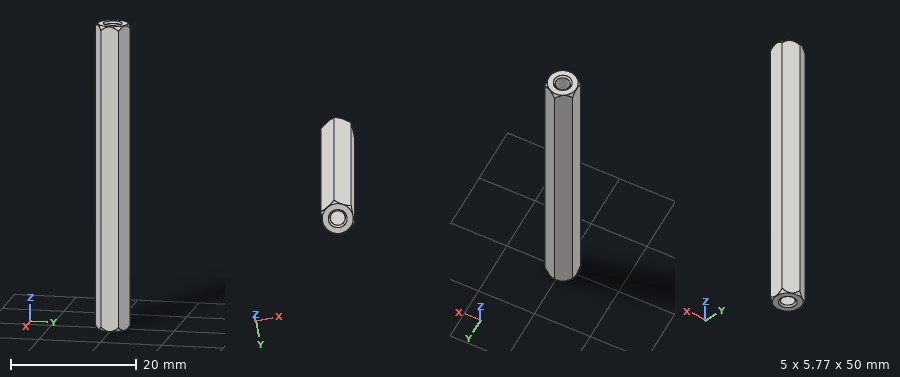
import cadquery as cq
import math

length = 50.0
across_flats = 5.0
across_corners = across_flats / math.cos(math.radians(30))

end_face_diameter = 4.95
chamfer_angle = 60.0
chamfer_radial = (across_corners - end_face_diameter) / 2
chamfer_height = chamfer_radial * math.tan(math.radians(chamfer_angle))

hole_diameter = 2.4
hole_depth = 10.0
drill_point_angle = 90.0
mouth_diameter = 3.0


def chamfered_hexagon():
    """Hexagonal bar with corners on the Y axis, trimmed by a double-coned cylinder."""
    bar = (
        cq.Workplane("XY")
        .polygon(6, across_corners)
        .extrude(length)
        .rotate((0, 0, 0), (0, 0, 1), 30)
    )
    end_radius = end_face_diameter / 2
    corner_radius = across_corners / 2
    envelope = (
        cq.Workplane("XZ")
        .moveTo(0, 0)
        .lineTo(end_radius, 0)
        .lineTo(corner_radius, chamfer_height)
        .lineTo(corner_radius, length - chamfer_height)
        .lineTo(end_radius, length)
        .lineTo(0, length)
        .close()
        .revolve(360, (0, 0, 0), (0, 1, 0))
    )
    return bar.intersect(envelope)


def blind_hole():
    """Drilled hole going down from the top face, with a 45 degree countersunk mouth."""
    hole_radius = hole_diameter / 2
    mouth_radius = mouth_diameter / 2
    mouth_depth = mouth_radius - hole_radius
    point_height = hole_radius / math.tan(math.radians(drill_point_angle / 2))
    return (
        cq.Workplane("XZ")
        .moveTo(0, length)
        .lineTo(mouth_radius, length)
        .lineTo(hole_radius, length - mouth_depth)
        .lineTo(hole_radius, length - hole_depth)
        .lineTo(0, length - hole_depth - point_height)
        .close()
        .revolve(360, (0, 0, 0), (0, 1, 0))
    )


top_hole = blind_hole()
bottom_hole = top_hole.rotate((0, 0, length / 2), (1, 0, length / 2), 180)
result = chamfered_hexagon().cut(top_hole).cut(bottom_hole)